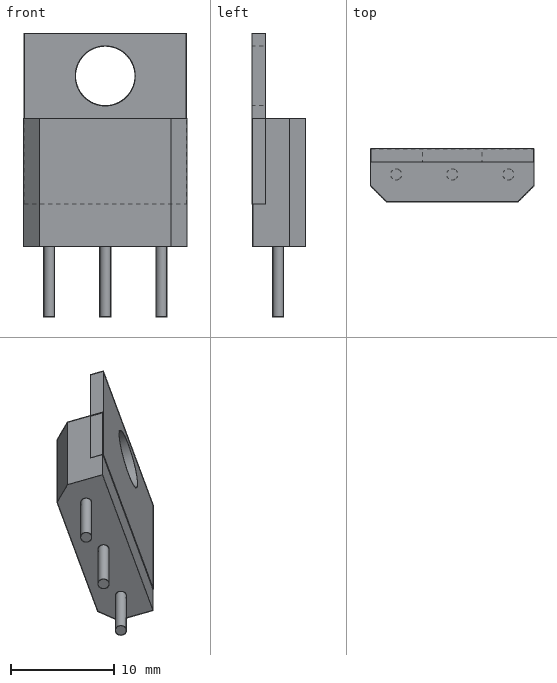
import cadquery as cq

TOTAL_HEIGHT = 27.5
TOTAL_DEPTH = 5.2

HOUSING_WIDTH = 15.87
HOUSING_HEIGHT = 12.43
HOUSING_CHAMFER = 1.57

TAB_WIDTH = 15.74
TAB_THICKNESS = 1.32
TAB_PROUD = 0.05
TAB_BOTTOM = 4.15
HOLE_DIAMETER = 5.78
HOLE_TO_TAB_TOP = 4.13

LEAD_DIAMETER = 1.07
LEAD_LENGTH = 6.82
LEAD_PITCH = 5.45
LEAD_TO_FRONT = 2.67
LEAD_COUNT = 3

HOUSING_DEPTH = TOTAL_DEPTH - TAB_PROUD
TAB_TOP = TOTAL_HEIGHT - LEAD_LENGTH
TAB_HEIGHT = TAB_TOP - TAB_BOTTOM
TAB_FRONT_Y = TAB_PROUD - TAB_THICKNESS
HOLE_Z = TAB_TOP - HOLE_TO_TAB_TOP
LEAD_Y = LEAD_TO_FRONT - HOUSING_DEPTH


def make_tab_blank():
    """Plain rectangular plate, with its rear face at Y = TAB_PROUD."""
    return (
        cq.Workplane("XY")
        .box(TAB_WIDTH, TAB_THICKNESS, TAB_HEIGHT, centered=(True, False, False))
        .translate((0, TAB_FRONT_Y, TAB_BOTTOM))
    )


def make_tab():
    """Plate with a round mounting hole through its exposed upper part."""
    hole = (
        cq.Workplane("XZ", origin=(0, TAB_PROUD, HOLE_Z))
        .circle(HOLE_DIAMETER / 2)
        .extrude(TAB_THICKNESS)
    )
    return make_tab_blank().cut(hole)


def make_housing():
    """Block with chamfered front corners and a rear recess for the tab."""
    block = (
        cq.Workplane("XY")
        .box(HOUSING_WIDTH, HOUSING_DEPTH, HOUSING_HEIGHT, centered=(True, False, False))
        .translate((0, -HOUSING_DEPTH, 0))
        .edges("|Z and <Y")
        .chamfer(HOUSING_CHAMFER)
    )
    return block.cut(make_tab_blank())


def make_lead(x):
    """Round lead hanging from the housing's bottom face at the given X."""
    return (
        cq.Workplane("XY", origin=(x, LEAD_Y, 0))
        .circle(LEAD_DIAMETER / 2)
        .extrude(-LEAD_LENGTH)
    )


housing = make_housing()
tab = make_tab()
leads = []
for index in range(LEAD_COUNT):
    lead_x = (index - (LEAD_COUNT - 1) / 2) * LEAD_PITCH
    leads.append(make_lead(lead_x).val())

result = cq.Compound.makeCompound([housing.val(), tab.val(), *leads])